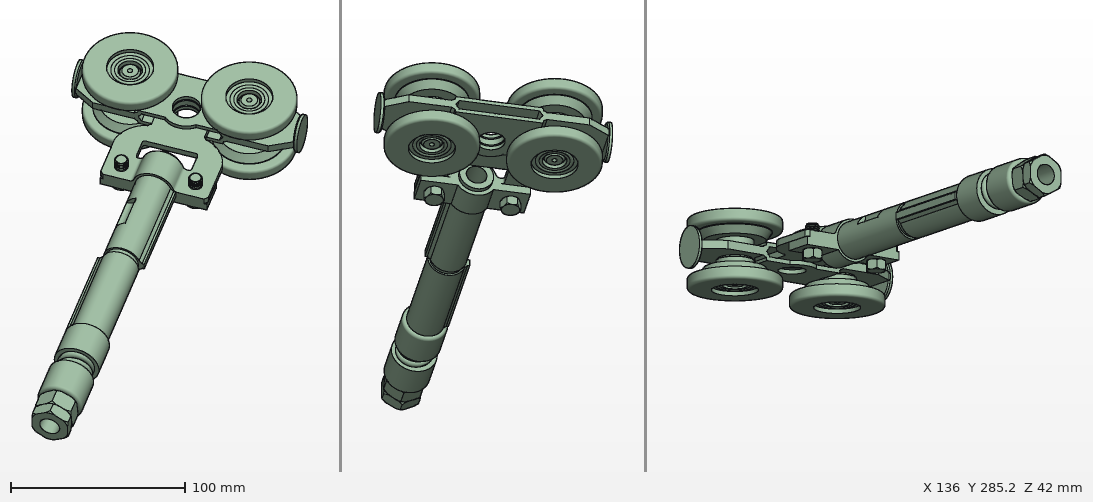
import cadquery as cq
import math


axle_spacing = 72
wheel_radius = 27.5
wheel_top = 21
wheel_bottom = 13.3
rim_rounding = 1.8
cone_large_radius = 21.5
cone_small_radius = 18
cone_top = 12.8
cone_bottom = 8.2
hub_radius = 22 / 2
hub_bottom = 3.6
collar_radius = 20 / 2
axle_radius = 12 / 2
face_recess_radius = 27 / 2
face_recess_depth = 2.5
seal_ring_radius = 20 / 2
seal_half_width = 2.18 / 2
seal_height = 0.6
pocket_radius = 14.05 / 2
pocket_depth = 6
axle_end_depth = 3
axle_end_chamfer = 1.25
center_mark_radius = 3 / 2
center_mark_depth = 1.5

arm_thickness = 5
sheet_thickness = arm_thickness / 2
fork_gap = 6
fork_half_length = 25.5
bend_toe_x = 28
bend_wall_x = 26
bend_wall_z = 3.8
bend_inside_shift = 2
hub_clearance = 0.5
carriage_half_width = 17
arm_straight_x = 53
arm_end_half_width = 8.2
buffer_outer_x = 136 / 2
buffer_thickness = 2.5
buffer_width = 20
buffer_height = 25
buffer_edge_chamfer = 0.8
pivot_y = -6
pivot_hole_diameter = 16.2
pivot_boss_radius = 14.5

bracket_thickness = 4
bracket_half_width = 32.5
neck_half_width = 16
neck_base_y = -21.5
shoulder_start = (17.8, -23.3)
shoulder_mid = (26.3, -28.1)
shoulder_end = (32, -37)
leg_top_y = -39.3
bracket_end_y = -66.7
bracket_corner_chamfer = 2
window_half_width = 16.7
window_top_y = -35
window_corner_radius = 1.5
clamp_length = 18.2
clamp_outer_radius = 25.2 / 2
clamp_fillet = 2.6
clamp_block_thickness = 5
clamp_block_inset = 0.3
bolt_x = 22.4
bolt_radius = 8 / 2
bolt_top = 8.2
bolt_thread_pitch = 1.25
bolt_thread_depth = 0.7
bolt_head_corner_diameter = 12.2
bolt_head_bevel = 0.8
hex_envelope_margin = 0.5
bolt_head_height = 6

total_length = 285.19
bore_radius = 12 / 2
core_radius = 20 / 2
sleeve_radius = 22.18 / 2
bumper_radius = 27 / 2
end_bumper_length = 22
inner_bumper_length = 21.3
bumper_fillet = 2
rod_tail_y = wheel_radius - total_length
nut_length = 7.5
hex_length = 10.5
hex_across_flats = 21.6
hex_twist = 6
hex_end_bevel = 1.2
spring_gap = 9.5
spring_neck_radius = 16.2 / 2
spring_wire_radius = 2.1
spring_pitch = 5.2
core_overhang = 2.7
sleeve_joint_y = -124.8
sleeve_joint_gap = 3.3
rib_crest_width = 4.2
rib_root_width = 8
rib_shoulder_x = 12.2
key_slot_start_y = -85
key_slot_length = 20
key_slot_width = 8
key_slot_radius = 9.5 / 2

clamp_start_y = bracket_end_y + clamp_length
clamp_mid_y = (bracket_end_y + clamp_start_y) / 2
hex_end_y = rod_tail_y + nut_length
end_bumper_y = hex_end_y + hex_length
spring_start_y = end_bumper_y + end_bumper_length
inner_bumper_y = spring_start_y + spring_gap
lower_sleeve_y = inner_bumper_y + inner_bumper_length


def along_y(start_y):
    """Workplane with its normal along +Y at start_y; local x is -X and local y is +Z."""
    return cq.Workplane("XZ", origin=(0, start_y, 0)).transformed(rotate=(0, 180, 0))


def rod_cylinder(radius, start_y, end_y):
    return along_y(start_y).circle(radius).extrude(end_y - start_y)


def half_wheel():
    """The upper wheel with its hub and half of the axle, turned about Z."""
    recess_z = wheel_top - face_recess_depth
    axle_z = wheel_top - axle_end_depth
    pocket_z = wheel_top - pocket_depth
    axle_face_radius = axle_radius - axle_end_chamfer
    profile = (
        cq.Workplane("XZ")
        .moveTo(0, 0)
        .lineTo(axle_radius, 0)
        .lineTo(axle_radius, sheet_thickness)
        .lineTo(collar_radius, sheet_thickness)
        .lineTo(collar_radius, hub_bottom)
        .lineTo(hub_radius, hub_bottom)
        .lineTo(hub_radius, cone_bottom)
        .lineTo(cone_small_radius, cone_bottom)
        .lineTo(cone_large_radius, cone_top)
        .lineTo(cone_large_radius, wheel_bottom)
        .lineTo(wheel_radius - rim_rounding, wheel_bottom)
        .radiusArc((wheel_radius, wheel_bottom + rim_rounding), -rim_rounding)
        .lineTo(wheel_radius, wheel_top - rim_rounding)
        .radiusArc((wheel_radius - rim_rounding, wheel_top), -rim_rounding)
        .lineTo(face_recess_radius, wheel_top)
        .lineTo(face_recess_radius, recess_z)
        .lineTo(seal_ring_radius + seal_half_width, recess_z)
        .threePointArc(
            (seal_ring_radius, recess_z + seal_height),
            (seal_ring_radius - seal_half_width, recess_z),
        )
        .lineTo(pocket_radius, recess_z)
        .lineTo(pocket_radius, pocket_z)
        .lineTo(axle_radius, pocket_z)
        .lineTo(axle_radius, axle_z - axle_end_chamfer)
        .lineTo(axle_face_radius, axle_z)
        .lineTo(center_mark_radius, axle_z)
        .lineTo(0, axle_z - center_mark_depth)
        .close()
    )
    return profile.revolve(360, (0, 0, 0), (0, 1, 0))


def wheel_set(axle_x):
    """Two mirrored wheels on one axle, one above and one below the carriage."""
    upper = half_wheel()
    lower = upper.mirror("XY")
    return upper.union(lower).translate((axle_x, 0, 0))


def folded_sheet():
    """The upper sheet: flat along both arms and raised over the fork in the middle."""
    arm_end_x = buffer_outer_x - buffer_thickness + buffer_edge_chamfer
    fork_z = fork_gap / 2
    inside_x = fork_half_length - bend_inside_shift
    right_half = [
        (inside_x, fork_z),
        (fork_half_length, 0),
        (arm_end_x, 0),
        (arm_end_x, sheet_thickness),
        (bend_toe_x, sheet_thickness),
        (bend_wall_x, bend_wall_z),
        (fork_half_length, fork_z + sheet_thickness),
    ]
    left_half = [(-x, z) for x, z in reversed(right_half)]
    return (
        cq.Workplane("XZ")
        .polyline(right_half + left_half)
        .close()
        .extrude(2 * wheel_radius, both=True)
    )


def carriage_outline():
    """Plan shape of the carriage, tapered to the buffers, with the pivot boss added."""
    height = 2 * wheel_radius
    right_end = [
        (arm_straight_x, carriage_half_width),
        (buffer_outer_x, arm_end_half_width),
        (buffer_outer_x, -arm_end_half_width),
        (arm_straight_x, -carriage_half_width),
    ]
    left_end = [(-x, -y) for x, y in right_end]
    plate = cq.Workplane("XY").polyline(right_end + left_end).close().extrude(height, both=True)
    boss = cq.Workplane("XY").center(0, pivot_y).circle(pivot_boss_radius).extrude(height, both=True)
    return plate.union(boss)


def pivot_hole():
    return (
        cq.Workplane("XY")
        .center(0, pivot_y)
        .circle(pivot_hole_diameter / 2)
        .extrude(wheel_top, both=True)
    )


def buffer():
    """Oval end plate on the +X end of the carriage."""
    return (
        cq.Workplane("YZ", origin=(buffer_outer_x - buffer_thickness, 0, 0))
        .ellipse(buffer_width / 2, buffer_height / 2)
        .extrude(buffer_thickness)
        .faces("<X")
        .chamfer(buffer_edge_chamfer)
    )


def make_carriage():
    axle_points = [(-axle_spacing / 2, 0), (axle_spacing / 2, 0)]
    hub_reliefs = (
        cq.Workplane("XY", origin=(0, 0, sheet_thickness))
        .pushPoints(axle_points)
        .circle(hub_radius + hub_clearance)
        .extrude(wheel_top)
    )
    upper = folded_sheet().intersect(carriage_outline()).cut(hub_reliefs)
    body = upper.union(upper.mirror("XY"))
    body = body.union(buffer()).union(buffer().mirror("YZ"))
    axle_holes = (
        cq.Workplane("XY")
        .pushPoints(axle_points)
        .circle(axle_radius)
        .extrude(arm_thickness, both=True)
    )
    return body.cut(pivot_hole()).cut(axle_holes)


def bracket_plate():
    """Flat plate: a round-ended tongue in the fork, a neck, and two legs round a window."""
    start_x, start_y = shoulder_start
    mid_x, mid_y = shoulder_mid
    end_x, end_y = shoulder_end
    plate = (
        cq.Workplane("XY", origin=(0, 0, -bracket_thickness / 2))
        .moveTo(-neck_half_width, pivot_y)
        .threePointArc((0, pivot_y + neck_half_width), (neck_half_width, pivot_y))
        .lineTo(neck_half_width, neck_base_y)
        .lineTo(start_x, start_y)
        .threePointArc((mid_x, mid_y), (end_x, end_y))
        .lineTo(bracket_half_width, leg_top_y)
        .lineTo(bracket_half_width, bracket_end_y)
        .lineTo(-bracket_half_width, bracket_end_y)
        .lineTo(-bracket_half_width, leg_top_y)
        .lineTo(-end_x, end_y)
        .threePointArc((-mid_x, mid_y), (-start_x, start_y))
        .lineTo(-neck_half_width, neck_base_y)
        .close()
        .extrude(bracket_thickness)
    )
    plate = plate.edges("|Z and <Y").chamfer(bracket_corner_chamfer)
    window = (
        cq.Workplane("XY")
        .center(0, (window_top_y + clamp_start_y) / 2)
        .rect(2 * window_half_width, window_top_y - clamp_start_y)
        .extrude(bracket_thickness, both=True)
        .edges("|Z")
        .fillet(window_corner_radius)
    )
    return plate.cut(window).cut(pivot_hole())


def clamp_fillets():
    """Filler strips that round the corner between the clamp tube and the plate's upper face."""
    plate_z = bracket_thickness / 2
    center_z = plate_z + clamp_fillet
    center_x = math.sqrt((clamp_outer_radius + clamp_fillet) ** 2 - center_z**2)
    reach = clamp_outer_radius / (clamp_outer_radius + clamp_fillet)
    strip = (
        along_y(bracket_end_y)
        .moveTo(center_x, plate_z)
        .radiusArc((center_x * reach, center_z * reach), clamp_fillet)
        .lineTo(core_radius, plate_z)
        .close()
        .extrude(clamp_length)
    )
    return strip.union(strip.mirror("YZ"))


def threaded_shank():
    """Upright bolt shank with a ring-shaped thread above the plate, at the origin in X and Y."""
    head_top = -bracket_thickness / 2 - clamp_block_thickness
    thread_start = bracket_thickness / 2
    turns = math.floor((bolt_top - thread_start) / bolt_thread_pitch)
    root_radius = bolt_radius - bolt_thread_depth
    profile = [(0, head_top), (bolt_radius, head_top), (bolt_radius, bolt_top - turns * bolt_thread_pitch)]
    for turn in range(turns, 0, -1):
        groove_start = bolt_top - turn * bolt_thread_pitch
        profile.append((root_radius, groove_start + bolt_thread_pitch / 2))
        if turn > 1:
            profile.append((bolt_radius, groove_start + bolt_thread_pitch))
    profile += [(root_radius, bolt_top), (0, bolt_top)]
    return cq.Workplane("XZ").polyline(profile).close().revolve(360, (0, 0, 0), (0, 1, 0))


def clamp_bolt(x):
    """Hexagon bolt pointing up through the clamp block and the plate."""
    head_top = -bracket_thickness / 2 - clamp_block_thickness
    head_base = cq.Workplane("XY", origin=(x, clamp_mid_y, head_top))
    head = head_base.polygon(6, bolt_head_corner_diameter).extrude(-bolt_head_height)
    envelope_radius = bolt_head_corner_diameter / 2 + hex_envelope_margin
    envelope = head_base.circle(envelope_radius).extrude(-bolt_head_height)
    envelope = envelope.faces("<Z or >Z").chamfer(bolt_head_bevel + hex_envelope_margin)
    shank = threaded_shank().translate((x, clamp_mid_y, 0))
    return head.intersect(envelope).union(shank)


def make_bracket():
    block_z = -(bracket_thickness + clamp_block_thickness) / 2
    block_width = 2 * (bracket_half_width - clamp_block_inset)
    block = cq.Workplane("XY").box(block_width, clamp_length, clamp_block_thickness)
    body = bracket_plate().union(block.translate((0, clamp_mid_y, block_z)))
    body = body.union(rod_cylinder(clamp_outer_radius, bracket_end_y, clamp_start_y))
    body = body.union(clamp_fillets())
    for x in (-bolt_x, bolt_x):
        body = body.union(clamp_bolt(x))
    return body.cut(rod_cylinder(core_radius, bracket_end_y, clamp_start_y))


def rib(start_y, end_y, side):
    """Lengthwise rib with sloping shoulders on the +X (side=1) or -X (side=-1) of a sleeve."""
    crest = rib_crest_width / 2
    root = rib_root_width / 2
    root_x = math.sqrt(sleeve_radius**2 - root**2)
    body = (
        along_y(start_y)
        .moveTo(-root_x, root)
        .lineTo(-rib_shoulder_x, crest)
        .lineTo(-bumper_radius, crest)
        .lineTo(-bumper_radius, -crest)
        .lineTo(-rib_shoulder_x, -crest)
        .lineTo(-root_x, -root)
        .close()
        .extrude(end_y - start_y)
    )
    if side < 0:
        body = body.mirror("YZ")
    return body


def key_slot():
    """Round-bottomed slot along the upper left of the sleeve."""
    half_width = key_slot_width / 2
    edge_depth = math.sqrt(sleeve_radius**2 - half_width**2)
    center_distance = edge_depth + math.sqrt(key_slot_radius**2 - half_width**2)
    offset = center_distance / math.sqrt(2)
    cutter = rod_cylinder(key_slot_radius, key_slot_start_y - key_slot_length, key_slot_start_y)
    return cutter.translate((-offset, 0, offset))


def bumper(start_y, length, rounded_end):
    return (
        rod_cylinder(bumper_radius, start_y, start_y + length)
        .faces(rounded_end)
        .edges()
        .fillet(bumper_fillet)
    )


def hexagon(start_y, length, twist):
    """Hexagonal length of the rod with bevelled corners at both ends."""
    corner_radius = hex_across_flats / 2 / math.cos(math.pi / 6)
    prism = (
        along_y(start_y)
        .transformed(rotate=(0, 0, 30 - twist))
        .polygon(6, 2 * corner_radius)
        .extrude(length)
    )
    envelope = rod_cylinder(corner_radius + hex_envelope_margin, start_y, start_y + length)
    envelope = envelope.faces("<Y or >Y").chamfer(hex_end_bevel + hex_envelope_margin)
    return prism.intersect(envelope)


def spring():
    """Coil between the two bumpers, trimmed flush with their faces."""
    coil_radius = sleeve_radius - spring_wire_radius
    coil_length = spring_gap + 2 * spring_pitch
    path = cq.Wire.makeHelix(spring_pitch, coil_length, coil_radius)
    wire = (
        cq.Workplane("XZ", origin=(coil_radius, 0, 0))
        .circle(spring_wire_radius)
        .sweep(cq.Workplane(path), isFrenet=True)
    )
    wire = wire.rotate((0, 0, 0), (1, 0, 0), -90)
    wire = wire.translate((0, spring_start_y - spring_pitch, 0))
    gap = rod_cylinder(bumper_radius, spring_start_y, inner_bumper_y)
    return wire.intersect(gap)


def make_rod():
    joint_end_y = sleeve_joint_y - sleeve_joint_gap
    body = rod_cylinder(core_radius, lower_sleeve_y, clamp_start_y + core_overhang)
    upper_sleeve = rod_cylinder(sleeve_radius, sleeve_joint_y, bracket_end_y).mirror("YZ")
    body = body.union(upper_sleeve).cut(key_slot())
    body = body.union(rib(sleeve_joint_y, bracket_end_y, 1))
    body = body.union(rod_cylinder(sleeve_radius, lower_sleeve_y, joint_end_y))
    body = body.union(rib(lower_sleeve_y, joint_end_y, -1))
    body = body.union(bumper(inner_bumper_y, inner_bumper_length, ">Y"))
    body = body.union(rod_cylinder(spring_neck_radius, spring_start_y, inner_bumper_y))
    body = body.union(spring())
    body = body.union(bumper(end_bumper_y, end_bumper_length, "<Y"))
    body = body.union(hexagon(hex_end_y, hex_length, hex_twist))
    body = body.union(hexagon(rod_tail_y, nut_length, 0))
    return body.cut(rod_cylinder(bore_radius, rod_tail_y, clamp_start_y + core_overhang))


carriage = make_carriage()
wheel_sets = [wheel_set(x) for x in (-axle_spacing / 2, axle_spacing / 2)]
bracket = make_bracket()
rod = make_rod()

result = cq.Compound.makeCompound(
    [carriage.val(), *[wheels.val() for wheels in wheel_sets], bracket.val(), rod.val()]
)